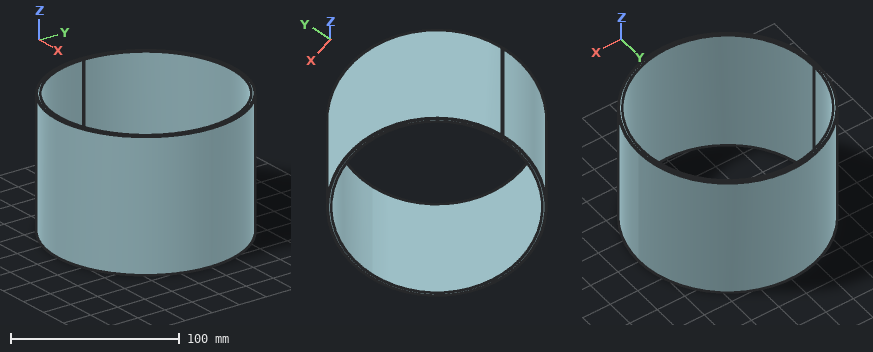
import cadquery as cq
import math

outer_diameter = 130.0
height = 90.0
wall = 2.5

outer_chamfer = 0.5
inner_chamfer = 0.2

split_angle = 1.0

outer_radius = outer_diameter / 2
inner_radius = outer_radius - wall

smallest_circle = cq.selectors.RadiusNthSelector(0)
largest_circle = cq.selectors.RadiusNthSelector(-1)


def bevel_rims(body, circle, size):
    """Bevel the chosen circular edge at both ends of the sleeve."""
    return body.faces("<Z or >Z").edges(circle).chamfer(size)


def make_sleeve():
    """Complete tube about the Z axis, with all four rim edges bevelled."""
    tube = cq.Workplane("XY").circle(outer_radius).circle(inner_radius).extrude(height)
    tube = bevel_rims(tube, largest_circle, outer_chamfer)
    return bevel_rims(tube, smallest_circle, inner_chamfer)


def make_split():
    """Wedge from the tube axis out past the -X side, opening from the XZ plane toward +Y."""
    reach = outer_diameter
    spread = reach * math.tan(math.radians(split_angle))
    corners = [(0, 0), (-reach, 0), (-reach, spread)]
    return cq.Workplane("XY").polyline(corners).close().extrude(height)


result = make_sleeve().cut(make_split())